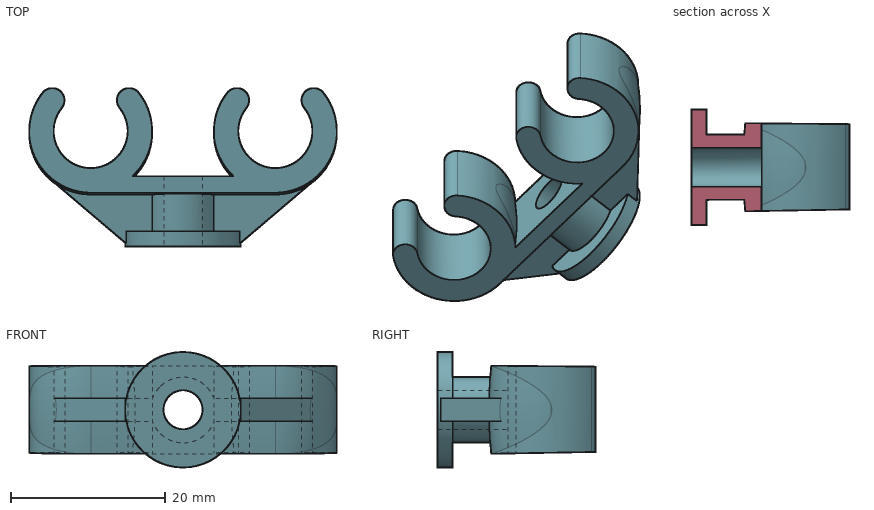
import cadquery as cq
import math

length = 39.95
depth = 20.55
clip_radius = 8.0
clip_bore_radius = 4.8
clip_wall = clip_radius - clip_bore_radius
clip_x = length / 2 - clip_radius
clip_y = 14.98

tip_radius = clip_wall / 2
tip_dy = depth - tip_radius - clip_y
tip_dx = math.sqrt((clip_bore_radius + tip_radius) ** 2 - tip_dy ** 2)

height = 11.45
bar_front = clip_y - clip_radius
bar_back = 9.15
crown = 0.28
upper_taper = 0.1
lower_taper = 0.25

flange_diameter = 15.0
flange_thickness = 2.0
neck_diameter = 8.55
bore_diameter = 5.05

rib_thickness = 3.05
rib_outer_x = 16.77
rib_outer_y = 8.35
rib_start_y = 0.48


def clip_outer(x):
    """Round clip body whose outer wall is crowned on the flange side."""
    cylinder = cq.Workplane("XY").circle(clip_radius).extrude(height / 2, both=True)
    end_radius = clip_radius - crown
    barrel = (
        cq.Workplane("XZ")
        .moveTo(0, -height / 2)
        .lineTo(end_radius, -height / 2)
        .threePointArc((clip_radius, 0), (end_radius, height / 2))
        .lineTo(0, height / 2)
        .close()
        .revolve(360, (0, 0, 0), (0, 1, 0))
        .translate((0, -crown, 0))
    )
    return cylinder.union(barrel).translate((x, clip_y, 0))


def clip_opening(x):
    """Bore of a clip together with its flared mouth."""
    mouth_scale = 2 * clip_radius / tip_dy
    mouth_x = tip_dx * mouth_scale
    mouth_y = tip_dy * mouth_scale
    bore = cq.Workplane("XY").circle(clip_bore_radius).extrude(height / 2, both=True)
    mouth = (
        cq.Workplane("XY")
        .polyline([(0, 0), (mouth_x, mouth_y), (-mouth_x, mouth_y)])
        .close()
        .extrude(height / 2, both=True)
    )
    return bore.union(mouth).translate((x, clip_y, 0))


def clip_tips(x):
    """Rounded ends of the two clip arms."""
    return (
        cq.Workplane("XY")
        .pushPoints([(x - tip_dx, clip_y + tip_dy), (x + tip_dx, clip_y + tip_dy)])
        .circle(tip_radius)
        .extrude(height / 2, both=True)
    )


def crowned_bar():
    """Straight bar joining the clips, with the same crown as their outer walls."""
    return (
        cq.Workplane("YZ")
        .moveTo(bar_back, -height / 2)
        .lineTo(bar_front, -height / 2)
        .threePointArc((bar_front - crown, 0), (bar_front, height / 2))
        .lineTo(bar_back, height / 2)
        .close()
        .extrude(clip_x, both=True)
    )


def taper_envelope():
    """Side profile that thins the body towards the clip tips."""
    return (
        cq.Workplane("YZ")
        .polyline([
            (0, -height / 2),
            (bar_front, -height / 2),
            (depth, -height / 2 + lower_taper),
            (depth, height / 2 - upper_taper),
            (bar_front, height / 2),
            (0, height / 2),
        ])
        .close()
        .extrude(length, both=True)
    )


def rib():
    """Central web bracing the flange against both clips."""
    flange_radius = flange_diameter / 2
    return (
        cq.Workplane("XY")
        .polyline([
            (-flange_radius, rib_start_y),
            (flange_radius, rib_start_y),
            (rib_outer_x, rib_outer_y),
            (-rib_outer_x, rib_outer_y),
        ])
        .close()
        .extrude(rib_thickness / 2, both=True)
    )


def flange_and_neck():
    """Round mounting flange on a narrower neck."""
    flange = cq.Workplane("XZ").circle(flange_diameter / 2).extrude(-flange_thickness)
    neck = cq.Workplane("XZ").circle(neck_diameter / 2).extrude(-bar_back)
    return flange.union(neck)


body = crowned_bar().union(rib())
for x in (-clip_x, clip_x):
    body = body.union(clip_outer(x))
for x in (-clip_x, clip_x):
    body = body.cut(clip_opening(x)).union(clip_tips(x))
body = body.intersect(taper_envelope()).union(flange_and_neck())

screw_bore = cq.Workplane("XZ").circle(bore_diameter / 2).extrude(-depth)
result = body.cut(screw_bore)